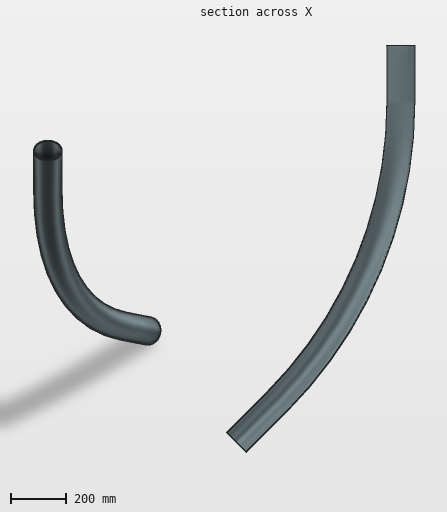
import cadquery as cq
import math

height = 1460.0
outer_diameter = 102.0
inner_diameter = 95.0
end_length = 205.0
bend_angle = 45.0

outer_radius = outer_diameter / 2
sine = math.sin(math.radians(bend_angle))
cosine = math.cos(math.radians(bend_angle))

bend_radius = (height - end_length * (1 + cosine) - outer_radius * sine) / sine


def bend_point(angle):
    """Centreline point (Y, Z) on the bend, measured from its upper end."""
    turn = math.radians(angle)
    return (
        bend_radius * (1 - math.cos(turn)),
        -end_length - bend_radius * math.sin(turn),
    )


bend_start = bend_point(0)
bend_middle = bend_point(bend_angle / 2)
bend_end = bend_point(bend_angle)
lower_end = (bend_end[0] + end_length * sine, bend_end[1] - end_length * cosine)

centreline = (
    cq.Workplane("YZ")
    .moveTo(0, 0)
    .lineTo(*bend_start)
    .threePointArc(bend_middle, bend_end)
    .lineTo(*lower_end)
)

result = (
    cq.Workplane("XY")
    .circle(outer_radius)
    .circle(inner_diameter / 2)
    .sweep(centreline)
)